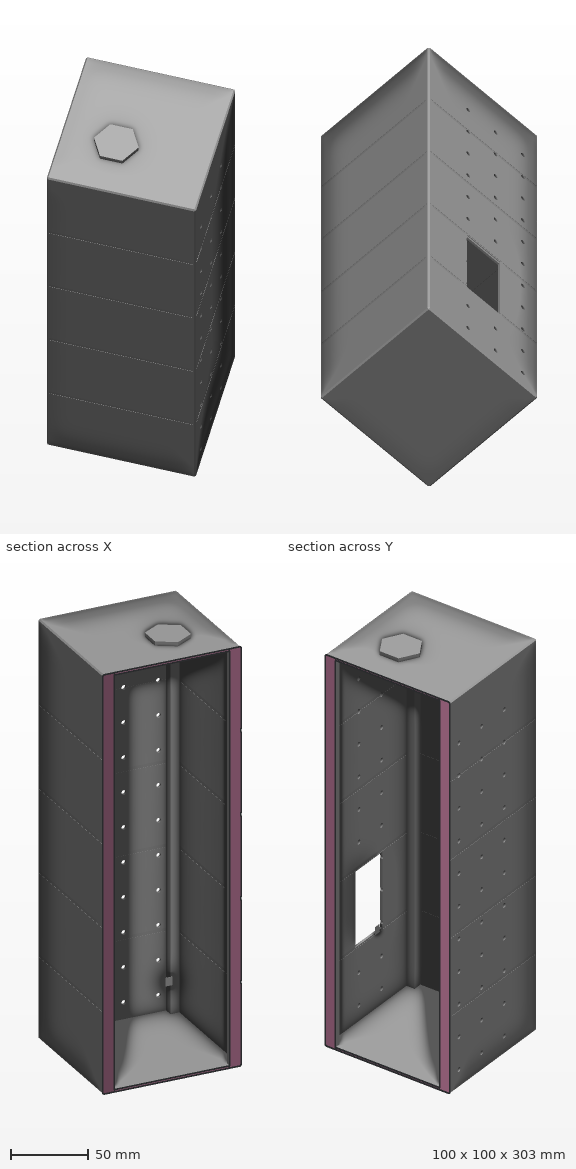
import cadquery as cq

tower_side = 100.0
storey_count = 5
storey_height = 60.0
tower_height = storey_count * storey_height
wall = 2.0
edge_chamfer = 1.0

groove_height = 2.5
groove_depth = 0.15
groove_end_inset = 1.67

post_side = 8.5

hole_diameter = 3.3
hole_columns = 3
hole_rows = 11
hole_pitch = tower_side / 4
first_hole_inset = 14.0

window_width = 30.0
window_recess_depth = 0.5
window_lip = 1.8
window_sill = storey_height

plate_width = 4.8
plate_height = 6.0
plate_thickness = 0.3
plate_face_x = -tower_side / 2 + post_side
plate_centre_z = 68.8

cap_side_count = 6
cap_across_corners = 30.0
cap_height = 3.0
cap_centre_x = -13.0
cap_centre_y = -13.0

corner_centre = (tower_side - post_side) / 2
corner_points = [(x, y) for x in (-corner_centre, corner_centre) for y in (-corner_centre, corner_centre)]


storey_levels = [storey * storey_height for storey in range(1, storey_count)]


def cut_outer_grooves(block):
    """Cut a groove across each side of the block at every storey level, stopping short of the edges."""
    length = tower_side - 2 * groove_end_inset
    face = tower_side / 2
    for level in storey_levels:
        for offset in (-face, face):
            block = block.cut(
                cq.Workplane("XY").box(2 * groove_depth, length, groove_height).translate((offset, 0, level))
            )
            block = block.cut(
                cq.Workplane("XY").box(length, 2 * groove_depth, groove_height).translate((0, offset, level))
            )
    return block


def make_envelope():
    """Solid outer shape of the tower: chamfered block with grooves between storeys."""
    block = cq.Workplane("XY").rect(tower_side, tower_side).extrude(tower_height)
    return cut_outer_grooves(block.edges().chamfer(edge_chamfer))


def make_cavity():
    """Inner space of the tower, widened by a groove between storeys."""
    side = tower_side - 2 * wall
    grooved_side = side + 2 * groove_depth
    cavity = cq.Workplane("XY").workplane(offset=wall).rect(side, side).extrude(tower_height - 2 * wall)
    for level in storey_levels:
        cavity = cavity.union(
            cq.Workplane("XY").box(grooved_side, grooved_side, groove_height).translate((0, 0, level))
        )
    return cavity


def make_corner(point):
    """Full-height square column that one corner post fills."""
    return cq.Workplane("XY").center(*point).rect(post_side, post_side).extrude(tower_height)


def make_holes():
    """Cylinders for the hole grid, long enough to pass through both X walls."""
    first_y = first_hole_inset - tower_side / 2
    points = [
        (first_y + column * hole_pitch, first_hole_inset + row * hole_pitch)
        for column in range(hole_columns)
        for row in range(hole_rows)
    ]
    grid = cq.Workplane("YZ").workplane(offset=-tower_side / 2).pushPoints(points)
    return grid.circle(hole_diameter / 2).extrude(tower_side)


def make_window():
    """Stepped block that opens the -X wall: a shallow recess with a lip above the opening in it."""
    on_sill = (True, True, False)
    recess = cq.Workplane("XY").box(2 * window_recess_depth, window_width, storey_height, centered=on_sill)
    opening = cq.Workplane("XY").box(2 * wall, window_width, storey_height - window_lip, centered=on_sill)
    return recess.union(opening).translate((-tower_side / 2, 0, window_sill))


def make_housing(envelope):
    """Hollow tower with its corners left open for the posts."""
    housing = envelope.cut(make_cavity())
    for point in corner_points:
        housing = housing.cut(make_corner(point))
    return housing.cut(make_holes()).cut(make_window())


def make_post(envelope, point):
    """Solid corner post that follows the outer shape of the tower."""
    return envelope.intersect(make_corner(point))


def make_plate():
    """Thin plate that stands behind the window."""
    plate = cq.Workplane("XY").box(plate_thickness, plate_width, plate_height, centered=(False, True, True))
    return plate.translate((plate_face_x, 0, plate_centre_z))


def make_cap():
    """Hexagonal cap that lies on the roof."""
    roof = cq.Workplane("XY").workplane(offset=tower_height).center(cap_centre_x, cap_centre_y)
    return roof.polygon(cap_side_count, cap_across_corners).extrude(cap_height)


envelope = make_envelope()
housing = make_housing(envelope)
posts = [make_post(envelope, point) for point in corner_points]
plate = make_plate()
cap = make_cap()

result = cq.Compound.makeCompound(
    [housing.val(), *[post.val() for post in posts], plate.val(), cap.val()]
)